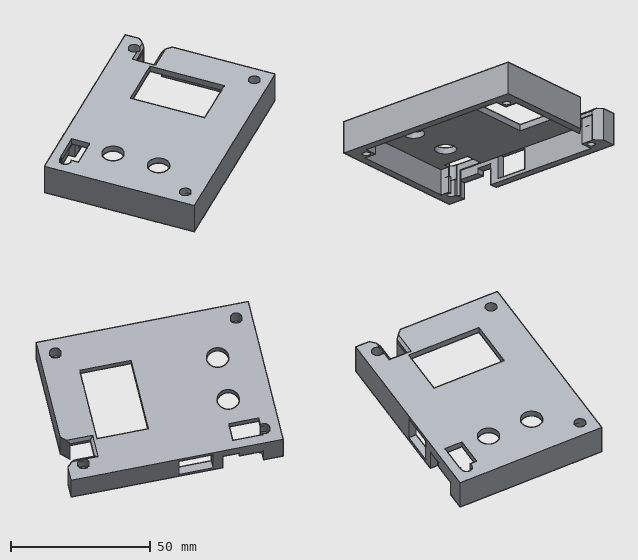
import cadquery as cq

width, length, height = 58.0, 78.0, 12.5
wall = 3.05
plate = 2.5
plate_bottom = height - plate

screw_inset = 5.8
boss_side = 8.1
screw_diameter = 3.0
head_diameter = 4.2
head_depth = 6.0

display_x, display_y = (14.75, 43.45), (46.3, 65.2)
slot_x, slot_y = (3.5, 10.45), (6.7, 17.7)
knob_diameter = 8.0
knob_x = (20.3, 37.9)
knob_y = 15.75

notch_x = (8.5, 15.3)
notch_y = 67.55
notch_bevel = 1.1
mouth_flare = 3.0

window_y, window_z = (25.8, 38.3), (1.4, 11.0)
port_y, port_top = (7.25, 22.2), 6.3
port_step_y, port_step_top = 16.15, 8.35


def block(x, y, z):
    """Box spanning the given (low, high) pairs."""
    size = (x[1] - x[0], y[1] - y[0], z[1] - z[0])
    return cq.Workplane("XY").box(*size, centered=False).translate((x[0], y[0], z[0]))


def cylinder(x, y, diameter, z):
    """Vertical cylinder spanning the (low, high) pair z."""
    return cq.Workplane("XY", origin=(x, y, z[0])).circle(diameter / 2).extrude(z[1] - z[0])


def shell():
    cavity = block((wall, width - wall), (wall, length - wall), (0, plate_bottom))
    return block((0, width), (0, length), (0, height)).cut(cavity)


def add_bosses(body):
    for x in ((0, boss_side), (width - boss_side, width)):
        for y in ((0, boss_side), (length - boss_side, length)):
            body = body.union(block(x, y, (0, height)))
    return body


def cut_screw_holes(body):
    for x in (screw_inset, width - screw_inset):
        for y in (screw_inset, length - screw_inset):
            body = body.cut(cylinder(x, y, screw_diameter, (0, height)))
            body = body.cut(cylinder(x, y, head_diameter, (height - head_depth, height)))
    return body


def cut_plate_openings(body):
    body = body.cut(block(display_x, display_y, (0, height)))
    body = body.cut(block(slot_x, slot_y, (0, height)))
    for x in knob_x:
        body = body.cut(cylinder(x, knob_y, knob_diameter, (0, height)))
    return body


def cut_cable_notch(body):
    left, right = notch_x
    mouth_y = length - mouth_flare
    outline = [
        (left, notch_y),
        (right, notch_y),
        (right, mouth_y),
        (right + mouth_flare, length),
        (left - mouth_flare, length),
        (left, mouth_y),
    ]
    notch = cq.Workplane("XY").polyline(outline).close().extrude(height)

    overrun = 2 * notch_bevel
    bevel_length = length + overrun - notch_y
    middle = ((left + right) / 2, notch_y + bevel_length / 2, height - notch_bevel)
    bevel = (
        cq.Workplane("XY", origin=middle)
        .rect(right - left, bevel_length)
        .workplane(offset=notch_bevel)
        .rect(right - left + 2 * notch_bevel, bevel_length + 2 * notch_bevel)
        .loft(ruled=True)
    )
    return body.cut(notch).cut(bevel)


def cut_wall_openings(body):
    body = body.cut(block((0, wall), window_y, window_z))
    body = body.cut(block((0, wall), port_y, (0, port_top)))
    return body.cut(block((0, wall), (port_step_y, port_y[1]), (0, port_step_top)))


result = shell()
result = add_bosses(result)
result = cut_screw_holes(result)
result = cut_plate_openings(result)
result = cut_cable_notch(result)
result = cut_wall_openings(result)